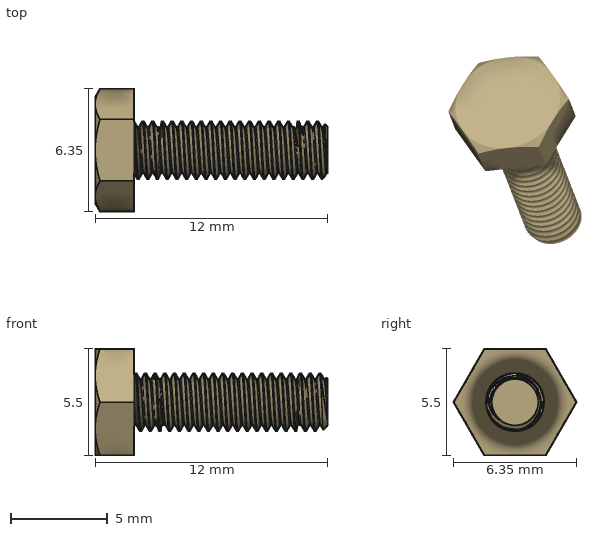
import cadquery as cq
import math

total_length = 12.0
head_start = -total_length / 2
tip = head_start + total_length

across_flats = 5.5
across_corners = across_flats / math.cos(math.radians(30))
head_height = 2.0
head_chamfer_angle = 30.0
head_end = head_start + head_height

thread_diameter = 3.0
pitch = thread_diameter / 6
crest_radius = thread_diameter / 2
thread_depth = pitch * 0.61
root_radius = crest_radius - thread_depth
crest_width = pitch / 8
flank_angle = 30.0
ridge_overlap = 0.02
ridge_height = thread_depth + ridge_overlap
ridge_base_width = crest_width + 2 * ridge_height * math.tan(math.radians(flank_angle))
envelope_clearance = 0.05
tip_chamfer = thread_depth
last_crest_setback = 0.41
turns = 22


def make_head():
    """Hexagonal head with two flats facing +Z and -Z and a conical outer face."""
    head = (
        cq.Workplane("YZ", origin=(head_start, 0, 0))
        .polygon(6, across_corners)
        .extrude(head_height)
    )
    face_radius = across_flats / 2
    cone_radius = face_radius + head_height / math.tan(math.radians(head_chamfer_angle))
    corner_cone = (
        cq.Workplane("XY")
        .moveTo(head_start, 0)
        .lineTo(head_start, face_radius)
        .lineTo(head_end, cone_radius)
        .lineTo(head_end, 0)
        .close()
        .revolve(360, (0, 0, 0), (1, 0, 0))
    )
    return head.intersect(corner_cone)


def make_thread_ridge():
    """Helical ridge reaching past both ends of the shank."""
    ridge_start = tip - last_crest_setback + pitch / 2 - (turns - 1) * pitch
    base_radius = crest_radius - ridge_height
    path = cq.Wire.makeHelix(pitch, turns * pitch, base_radius)
    half_base = ridge_base_width / 2
    half_crest = crest_width / 2
    profile = [
        (base_radius, -half_base),
        (crest_radius, -half_crest),
        (crest_radius, half_crest),
        (base_radius, half_base),
    ]
    ridge = cq.Workplane("XZ").polyline(profile).close().sweep(path, isFrenet=True)
    return ridge.rotate((0, 0, 0), (0, 1, 0), 90).translate((ridge_start, 0, 0))


def make_shank_envelope():
    """Outer limit of the thread, chamfered at the tip."""
    limit_radius = crest_radius + envelope_clearance
    limit_chamfer = tip_chamfer + envelope_clearance
    return (
        cq.Workplane("YZ", origin=(head_end, 0, 0))
        .circle(limit_radius)
        .extrude(tip - head_end)
        .faces(">X")
        .chamfer(limit_chamfer)
    )


def make_shank():
    """Threaded shank from the underside of the head to the tip."""
    core = cq.Workplane("YZ", origin=(head_end, 0, 0)).circle(root_radius).extrude(tip - head_end)
    ridge = make_thread_ridge().intersect(make_shank_envelope())
    return core.union(ridge, clean=False)


result = make_head().union(make_shank(), clean=False).solids()